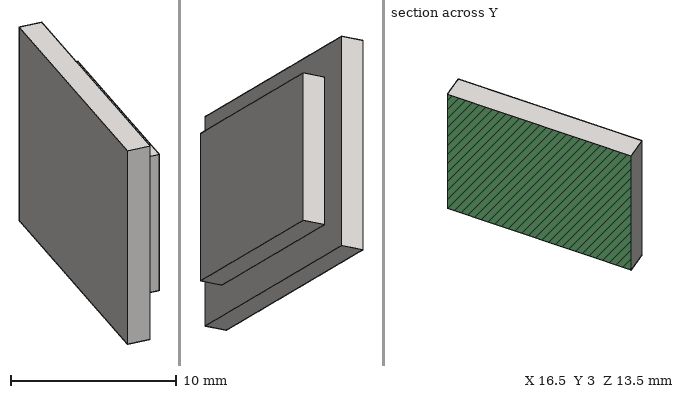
import cadquery as cq

plate_width = 16.5
plate_height = 13.5
total_depth = 3.0
plate_thickness = total_depth / 2

block_width = 12.4
block_height = 9.5
block_thickness = total_depth - plate_thickness

plate = cq.Workplane("XY").box(plate_width, plate_thickness, plate_height)

block = (
    cq.Workplane("XY")
    .box(block_width, block_thickness, block_height)
    .translate((0, (plate_thickness + block_thickness) / 2, 0))
)

result = plate.union(block)